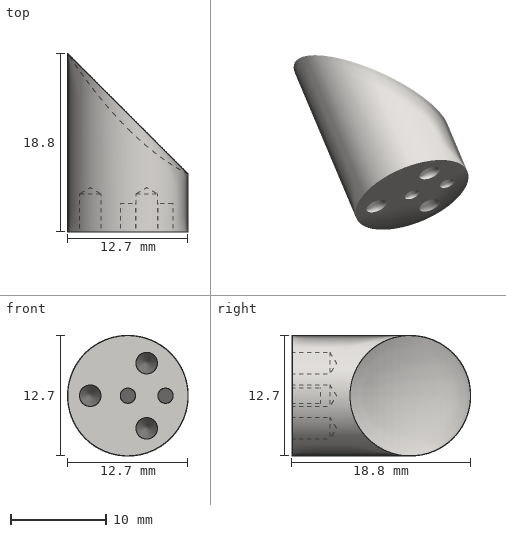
import cadquery as cq
import math

barrel_diameter = 12.7
overall_length = 18.8
reflected_focal_length = 12.7

bolt_circle_radius = 3.96
tap_hole_diameter = 2.26
tap_hole_depth = 4.0
tap_hole_count = 3
drill_point_angle = 118.0
pin_hole_diameter = 1.6
pin_hole_depth = 3.0

barrel_radius = barrel_diameter / 2

parent_focal_length = reflected_focal_length / 2
parent_axis_x = reflected_focal_length


def parabola_height(distance):
    """Height of the parent paraboloid above its vertex at a distance from its axis."""
    return distance**2 / (4 * parent_focal_length)


def make_barrel():
    """Plain round bar from the base to the tip of the mirror rim."""
    return cq.Workplane("XZ").circle(barrel_radius).extrude(-overall_length)


def make_mirror_cutter():
    """Solid of revolution filling the space in front of the concave mirror surface."""
    far_distance = parent_axis_x + barrel_radius
    clearance = 1.0
    cutter_radius = far_distance + clearance
    vertex_y = overall_length - parabola_height(far_distance)
    edge_y = vertex_y + parabola_height(cutter_radius)
    profile = (
        cq.Workplane("XY")
        .moveTo(parent_axis_x, vertex_y)
        .bezier(
            [
                (parent_axis_x, vertex_y),
                (parent_axis_x - cutter_radius / 2, vertex_y),
                (parent_axis_x - cutter_radius, edge_y),
            ]
        )
        .lineTo(parent_axis_x, edge_y)
        .close()
    )
    return profile.revolve(360, (parent_axis_x, 0, 0), (parent_axis_x, 1, 0))


def make_tap_hole(x, z):
    """Blind drilled hole with a conical bottom, entering the base along +Y."""
    radius = tap_hole_diameter / 2
    point_length = radius / math.tan(math.radians(drill_point_angle / 2))
    profile = (
        cq.Workplane("XY")
        .lineTo(radius, 0)
        .lineTo(radius, tap_hole_depth)
        .lineTo(0, tap_hole_depth + point_length)
        .close()
    )
    return profile.revolve(360, (0, 0, 0), (0, 1, 0)).translate((x, 0, z))


def make_pin_hole(x):
    """Blind flat-bottomed hole on the X centreline, entering the base along +Y."""
    return cq.Workplane("XZ").center(x, 0).circle(pin_hole_diameter / 2).extrude(-pin_hole_depth)


result = make_barrel().cut(make_mirror_cutter())

for index in range(tap_hole_count):
    angle = math.pi + index * 2 * math.pi / tap_hole_count
    hole_x = bolt_circle_radius * math.cos(angle)
    hole_z = bolt_circle_radius * math.sin(angle)
    result = result.cut(make_tap_hole(hole_x, hole_z))

for pin_x in (0, bolt_circle_radius):
    result = result.cut(make_pin_hole(pin_x))